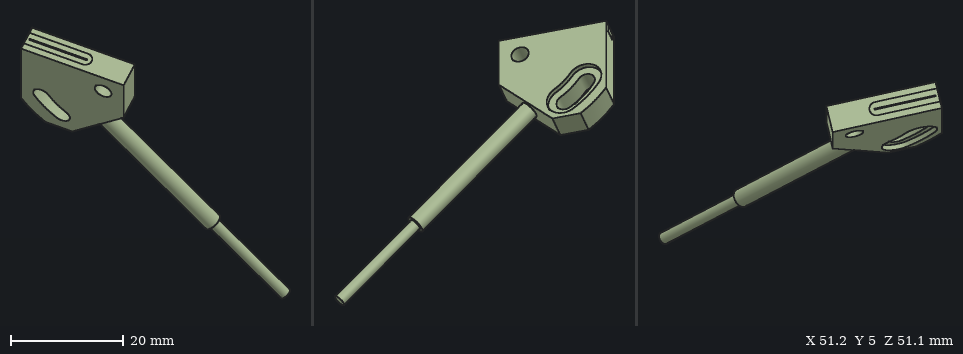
import cadquery as cq
import math

OVERALL_SIZE = 51.15

PLATE_SIZE = 20.0
PLATE_THICKNESS = 5.0
CORNER_CUT = PLATE_SIZE / 2

HOLE_DIAMETER = 3.2
PIVOT_INSET_X = 4.0
PIVOT_INSET_Z = 4.05
PIVOT_X = PLATE_SIZE - PIVOT_INSET_X
PIVOT_Z = -PIVOT_INSET_Z
CORNER_RADIUS = 19.55

SLOT_WIDTH = 3.2
SLOT_RADIUS = 14.5
SLOT_HALF_ANGLE = 11
SLOT_MID_ANGLE = 225

RECESS_WIDTH = 6.25
RECESS_DEPTH = 0.95

CABLE_ANGLE = 45
SHEATH_DIAMETER = 3.5
SHEATH_LENGTH = 30.0
CORE_DIAMETER = 2.25
CORE_REACH = OVERALL_SIZE - CORE_DIAMETER / 2 * math.cos(math.radians(CABLE_ANGLE))

STRIP_LENGTH = 12.7
STRIP_WIDTH = 2.5
STRIP_DEPTH = 1.5
GROOVE_START = 0.6
GROOVE_LENGTH = 11.15
GROOVE_WIDTH = 0.15
GROOVE_DEPTH = 0.15


def around_pivot(radius, angle):
    """Point (X, Z) at a radius and an angle in degrees about the pivot."""
    turn = math.radians(angle)
    return (PIVOT_X + radius * math.cos(turn), PIVOT_Z + radius * math.sin(turn))


def through_plate(sketch):
    """Extrude an XZ sketch evenly about Y = 0 to the plate thickness."""
    return sketch.extrude(PLATE_THICKNESS / 2, both=True)


def make_plate_blank():
    corner_left = (0, PIVOT_Z - math.sqrt(CORNER_RADIUS**2 - PIVOT_X**2))
    pivot_height = PLATE_SIZE - PIVOT_INSET_Z
    corner_bottom = (PIVOT_X - math.sqrt(CORNER_RADIUS**2 - pivot_height**2), -PLATE_SIZE)
    outline = (
        cq.Workplane("XZ")
        .moveTo(0, 0)
        .lineTo(PLATE_SIZE, 0)
        .lineTo(PLATE_SIZE, CORNER_CUT - PLATE_SIZE)
        .lineTo(PLATE_SIZE - CORNER_CUT, -PLATE_SIZE)
        .lineTo(*corner_bottom)
        .threePointArc(around_pivot(CORNER_RADIUS, SLOT_MID_ANGLE), corner_left)
        .close()
    )
    return through_plate(outline)


def make_pivot_hole():
    return through_plate(cq.Workplane("XZ").center(PIVOT_X, PIVOT_Z).circle(HOLE_DIAMETER / 2))


def curved_slot_outline(plane, width):
    inner = SLOT_RADIUS - width / 2
    outer = SLOT_RADIUS + width / 2
    first = SLOT_MID_ANGLE - SLOT_HALF_ANGLE
    last = SLOT_MID_ANGLE + SLOT_HALF_ANGLE
    overrun = math.degrees(2 * math.asin(width / 4 / SLOT_RADIUS))
    return (
        plane.moveTo(*around_pivot(inner, first))
        .threePointArc(around_pivot(inner, SLOT_MID_ANGLE), around_pivot(inner, last))
        .threePointArc(around_pivot(SLOT_RADIUS, last + overrun), around_pivot(outer, last))
        .threePointArc(around_pivot(outer, SLOT_MID_ANGLE), around_pivot(outer, first))
        .threePointArc(around_pivot(SLOT_RADIUS, first - overrun), around_pivot(inner, first))
        .close()
    )


def make_curved_slot():
    slot = through_plate(curved_slot_outline(cq.Workplane("XZ"), SLOT_WIDTH))
    back_face = cq.Workplane("XZ", origin=(0, PLATE_THICKNESS / 2, 0))
    recess = curved_slot_outline(back_face, RECESS_WIDTH).extrude(RECESS_DEPTH)
    return slot.union(recess)


def make_cable():
    exit_middle = PLATE_SIZE - CORNER_CUT / 2
    slope = math.radians(CABLE_ANGLE)
    direction = cq.Vector(math.cos(slope), 0, -math.sin(slope))
    core_length = (CORE_REACH - exit_middle) / math.cos(slope)
    start = cq.Plane(origin=(exit_middle, 0, -exit_middle), xDir=(0, 1, 0), normal=direction)
    sheath = cq.Workplane(start).circle(SHEATH_DIAMETER / 2).extrude(SHEATH_LENGTH)
    core = cq.Workplane(start).circle(CORE_DIAMETER / 2).extrude(core_length)
    return sheath.union(core)


def make_strip_blank():
    """Bar from the left face, with a full round at its +X end."""
    straight = STRIP_LENGTH - STRIP_WIDTH / 2
    half = STRIP_WIDTH / 2
    return (
        cq.Workplane("XY")
        .moveTo(0, -half)
        .lineTo(straight, -half)
        .threePointArc((STRIP_LENGTH, 0), (straight, half))
        .lineTo(0, half)
        .close()
        .extrude(-STRIP_DEPTH)
    )


def make_housing():
    plate = make_plate_blank().cut(make_pivot_hole()).cut(make_curved_slot()).cut(make_strip_blank())
    return plate.union(make_cable())


def make_strip():
    groove = cq.Workplane("XY").box(GROOVE_LENGTH, GROOVE_WIDTH, GROOVE_DEPTH, centered=(False, True, False))
    return make_strip_blank().cut(groove.translate((GROOVE_START, 0, -GROOVE_DEPTH)))


housing = make_housing()
strip = make_strip()

result = cq.Compound.makeCompound([housing.val(), strip.val()])